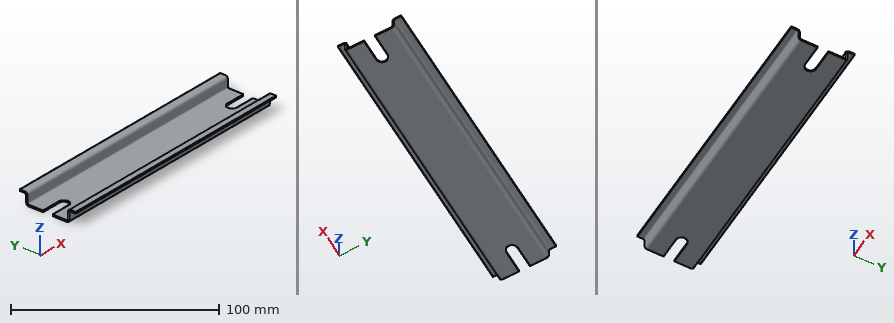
import cadquery as cq

length = 150.0
width = 35.0
height = 7.5
sheet = 1.0

channel_width = 27.3
inner_bend = 0.8
outer_bend = inner_bend + sheet

slot_width = 6.0
slot_depth = 15.0


def slab(size_y, bottom, top):
    """Full-length block centred on the X and Y axes between two heights."""
    return (
        cq.Workplane("XY", origin=(0, 0, bottom))
        .box(length, size_y, top - bottom, centered=(True, True, False))
    )


def make_rail():
    """Bent sheet: a round-cornered channel with a flange along each side."""
    half_width = width / 2
    half_channel = channel_width / 2
    wall_inside = half_channel - sheet
    channel = slab(channel_width, 0, height).edges("|X and <Z").fillet(outer_bend)
    flanges = slab(width, height - sheet, height)
    hollow = slab(2 * wall_inside, sheet, height).edges("|X and <Z").fillet(inner_bend)
    solid = channel.union(flanges).cut(hollow)

    upper_bends = solid.edges(
        cq.selectors.BoxSelector(
            (-length, -wall_inside - sheet / 2, height - sheet / 2),
            (length, wall_inside + sheet / 2, height + sheet / 2),
        )
    ).edges("|X")
    solid = upper_bends.fillet(outer_bend)
    under_bends = solid.edges(
        cq.selectors.BoxSelector(
            (-length, -half_width + sheet, height - 1.5 * sheet),
            (length, half_width - sheet, height - sheet / 2),
        )
    ).edges("|X")
    return under_bends.fillet(inner_bend)


def slot_cutter(end):
    """Round-bottomed slot open at the -X (end = -1) or +X (end = 1) side."""
    radius = slot_width / 2
    round_centre = end * (length / 2 - slot_depth + radius)
    return (
        cq.Workplane("XY")
        .center(round_centre + end * slot_depth / 2, 0)
        .rect(slot_depth, slot_width)
        .extrude(height)
        .union(cq.Workplane("XY").center(round_centre, 0).circle(radius).extrude(height))
    )


result = make_rail()
for end in (-1, 1):
    result = result.cut(slot_cutter(end))